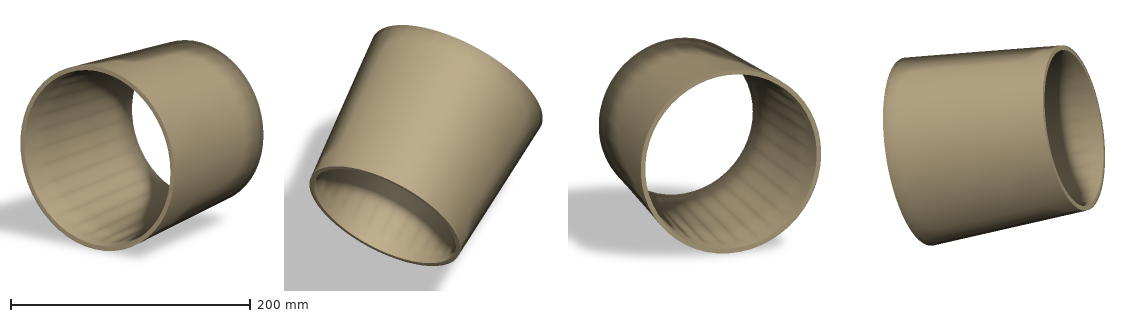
import cadquery as cq

large_diameter = 159.0
small_diameter = 139.8
length = 140.0
wall = 4.0

large_radius = large_diameter / 2
small_radius = small_diameter / 2

wall_section = (
    cq.Workplane("XY")
    .moveTo(large_radius - wall, 0)
    .lineTo(large_radius, 0)
    .lineTo(small_radius, length)
    .lineTo(small_radius - wall, length)
    .close()
)

result = wall_section.revolve(360, (0, 0, 0), (0, 1, 0))